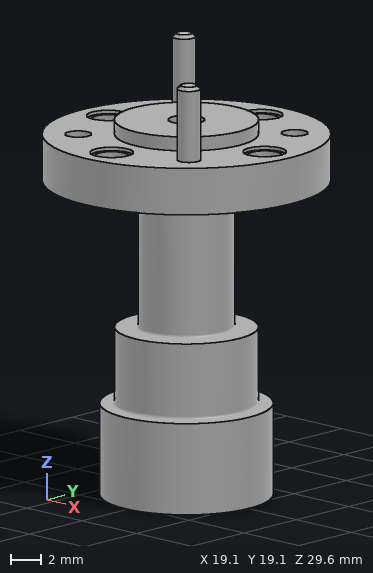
import cadquery as cq
import math

base_radius = 5.73
collar_radius = 4.75
neck_radius = 3.2
flange_radius = 19.05 / 2
pilot_radius = 4.75
base_top = 6.2
collar_top = 11.37
flange_bottom = 21.33
flange_top = 24.5
pilot_top = 25.43
overall_height = 29.55
collar_fillet = 0.25
neck_fillet = 0.2
flange_fillet = 0.3
bore_radius = 2.4 / 2

pattern_radius = 14.27 / 2
bolt_radius = 2.27 / 2
counterbore_radius = 1.42
counterbore_depth = 0.25
dowel_hole_radius = 1.75 / 2
pin_radius = 1.57 / 2
pin_chamfer = 0.25
bolt_angles = (0, 90, 180, 270)
dowel_hole_angles = (45, 225)
pin_angles = (135, 315)


def disc(radius, bottom, top):
    return cq.Workplane("XY").workplane(offset=bottom).circle(radius).extrude(top - bottom)


def on_pattern(shape, angle):
    """Move a centred shape out to its place on the hole circle."""
    turn = math.radians(angle)
    return shape.translate((pattern_radius * math.cos(turn), pattern_radius * math.sin(turn), 0))


def fillet_ring(radius, shoulder, direction, fillet):
    """Concave fillet where a cylinder meets a shoulder; direction is +1 above it, -1 below."""
    outer = radius + fillet
    end = shoulder + direction * fillet
    middle_offset = fillet * (1 - math.sqrt(0.5))
    middle = (radius + middle_offset, shoulder + direction * middle_offset)
    return (
        cq.Workplane("XZ")
        .moveTo(0, shoulder)
        .lineTo(outer, shoulder)
        .threePointArc(middle, (radius, end))
        .lineTo(0, end)
        .close()
        .revolve(360, (0, 0, 0), (0, 1, 0))
    )


body = disc(base_radius, 0, base_top)
body = body.union(disc(collar_radius, base_top, collar_top))
body = body.union(disc(neck_radius, collar_top, flange_bottom))
body = body.union(disc(flange_radius, flange_bottom, flange_top))
body = body.union(disc(pilot_radius, flange_top, pilot_top))
body = body.union(fillet_ring(collar_radius, base_top, 1, collar_fillet))
body = body.union(fillet_ring(neck_radius, collar_top, 1, neck_fillet))
body = body.union(fillet_ring(neck_radius, flange_bottom, -1, flange_fillet))

body = body.cut(disc(bore_radius, 0, pilot_top))

bolt_hole = disc(bolt_radius, flange_bottom, flange_top)
bolt_hole = bolt_hole.union(disc(counterbore_radius, flange_top - counterbore_depth, flange_top))
for angle in bolt_angles:
    body = body.cut(on_pattern(bolt_hole, angle))

dowel_hole = disc(dowel_hole_radius, flange_bottom, flange_top)
for angle in dowel_hole_angles:
    body = body.cut(on_pattern(dowel_hole, angle))

pin = disc(pin_radius, flange_bottom, overall_height).faces(">Z").chamfer(pin_chamfer)
for angle in pin_angles:
    body = body.union(on_pattern(pin, angle))

result = body